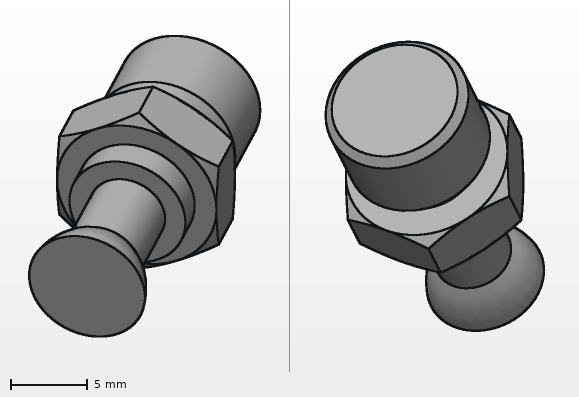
import cadquery as cq
import math


OVERALL_LENGTH = 22.7
THREAD_LENGTH = 6.55
NECK_LENGTH = 1.45
HEX_LENGTH = 4.0
COLLAR_LENGTH = 2.0
HEAD_LENGTH = 3.1

THREAD_DIAMETER = 9.73
THREAD_ROOT_DIAMETER = 8.566
NECK_DIAMETER = 7.0
COLLAR_DIAMETER = 8.0
ROD_DIAMETER = 5.2
HEAD_DIAMETER = 8.0

HEAD_ARC_RADIUS = 6.0

HEX_SIDES = 6
HEX_ACROSS_FLATS = 11.0
HEX_CHAMFER_ANGLE = 30.0

hex_back = HEX_LENGTH
neck_back = hex_back + NECK_LENGTH
thread_back = neck_back + THREAD_LENGTH
collar_front = -COLLAR_LENGTH
head_front = thread_back - OVERALL_LENGTH
head_back = head_front + HEAD_LENGTH


def revolve_about_y(profile):
    """Turn a closed XY half-profile a full revolution around the Y axis."""
    return profile.close().revolve(360, (0, 0, 0), (0, 1, 0))


def make_turned_body():
    """Threaded end, neck, collar, rod and flared head as one turned shape."""
    thread_radius = THREAD_DIAMETER / 2
    thread_end_radius = THREAD_ROOT_DIAMETER / 2
    thread_chamfer = thread_radius - thread_end_radius
    neck_radius = NECK_DIAMETER / 2
    collar_radius = COLLAR_DIAMETER / 2
    rod_radius = ROD_DIAMETER / 2
    head_radius = HEAD_DIAMETER / 2

    profile = (
        cq.Workplane("XY")
        .moveTo(0, head_front)
        .lineTo(head_radius, head_front)
        .radiusArc((rod_radius, head_back), -HEAD_ARC_RADIUS)
        .lineTo(rod_radius, collar_front)
        .lineTo(collar_radius, collar_front)
        .lineTo(collar_radius, 0)
        .lineTo(neck_radius, 0)
        .lineTo(neck_radius, neck_back)
        .lineTo(thread_end_radius, neck_back)
        .lineTo(thread_radius, neck_back + thread_chamfer)
        .lineTo(thread_radius, thread_back - thread_chamfer)
        .lineTo(thread_end_radius, thread_back)
        .lineTo(0, thread_back)
    )
    return revolve_about_y(profile)


def make_hexagon():
    """Hexagon with flats on +/-X and corners on +/-Z, both ends chamfered as a cone."""
    flat_radius = HEX_ACROSS_FLATS / 2
    corner_radius = flat_radius / math.cos(math.pi / HEX_SIDES)
    chamfer_height = (corner_radius - flat_radius) * math.tan(math.radians(HEX_CHAMFER_ANGLE))

    prism = (
        cq.Workplane("XZ")
        .transformed(rotate=(0, 0, 90))
        .polygon(HEX_SIDES, 2 * corner_radius)
        .extrude(-HEX_LENGTH)
    )
    chamfer_envelope = revolve_about_y(
        cq.Workplane("XY")
        .moveTo(0, 0)
        .lineTo(flat_radius, 0)
        .lineTo(corner_radius, chamfer_height)
        .lineTo(corner_radius, hex_back - chamfer_height)
        .lineTo(flat_radius, hex_back)
        .lineTo(0, hex_back)
    )
    return prism.intersect(chamfer_envelope)


result = make_turned_body().union(make_hexagon())